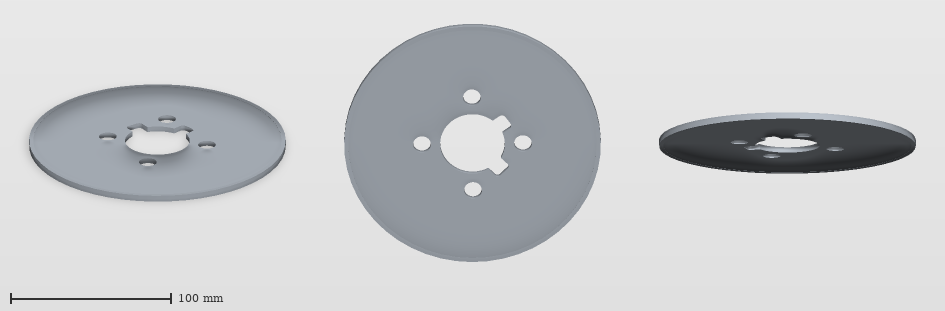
import cadquery as cq

outer_diameter = 160.0
thickness = 4.0

rim_inner_diameter = 154.7
rim_slope_drop = 0.2

plate_recess = 0.3
plate_thickness = thickness - 2 * plate_recess

bore_diameter = 40.3
keyway_reach = 27.4
keyway_corner_radius = 2.4
side_keyway_width = 11.2
tilted_keyway_width = 10.5
tilted_keyway_angle = 9.5

bolt_hole_diameter = 11.0
bolt_hole_spacing = 44.5


def make_rim():
    """Ring with shallow conical top and bottom faces, revolved about Z."""
    outer_radius = outer_diameter / 2
    inner_radius = rim_inner_diameter / 2
    return (
        cq.Workplane("XZ")
        .moveTo(inner_radius, rim_slope_drop)
        .lineTo(outer_radius, 0)
        .lineTo(outer_radius, thickness)
        .lineTo(inner_radius, thickness - rim_slope_drop)
        .close()
        .revolve(360, (0, 0, 0), (0, 1, 0))
    )


def make_side_keyway():
    """Flat-ended keyway cutter running from the axis along -X."""
    return (
        cq.Workplane("XY")
        .center(-keyway_reach / 2, 0)
        .rect(keyway_reach, side_keyway_width)
        .extrude(plate_thickness)
        .edges("|Z and <X")
        .fillet(keyway_corner_radius)
    )


def make_tilted_keyway():
    """Keyway cutter along +Y with an end concentric to the bore, turned toward -X."""
    half_width = tilted_keyway_width / 2
    corner_y = (keyway_reach**2 - half_width**2) ** 0.5
    return (
        cq.Workplane("XY")
        .moveTo(-half_width, 0)
        .lineTo(-half_width, corner_y)
        .threePointArc((0, keyway_reach), (half_width, corner_y))
        .lineTo(half_width, 0)
        .close()
        .extrude(plate_thickness)
        .edges("|Z")
        .edges(">Y")
        .fillet(keyway_corner_radius)
        .rotate((0, 0, 0), (0, 0, 1), tilted_keyway_angle)
    )


def make_plate():
    """Flat disc with the keyed bore and the four bolt holes."""
    return (
        cq.Workplane("XY")
        .circle(rim_inner_diameter / 2)
        .circle(bore_diameter / 2)
        .extrude(plate_thickness)
        .cut(make_side_keyway())
        .cut(make_tilted_keyway())
        .faces(">Z")
        .workplane(origin=(0, 0, plate_thickness))
        .rect(bolt_hole_spacing, bolt_hole_spacing, forConstruction=True)
        .vertices()
        .hole(bolt_hole_diameter)
        .translate((0, 0, plate_recess))
    )


rim = make_rim()
plate = make_plate()

result = cq.Compound.makeCompound([rim.val(), plate.val()])